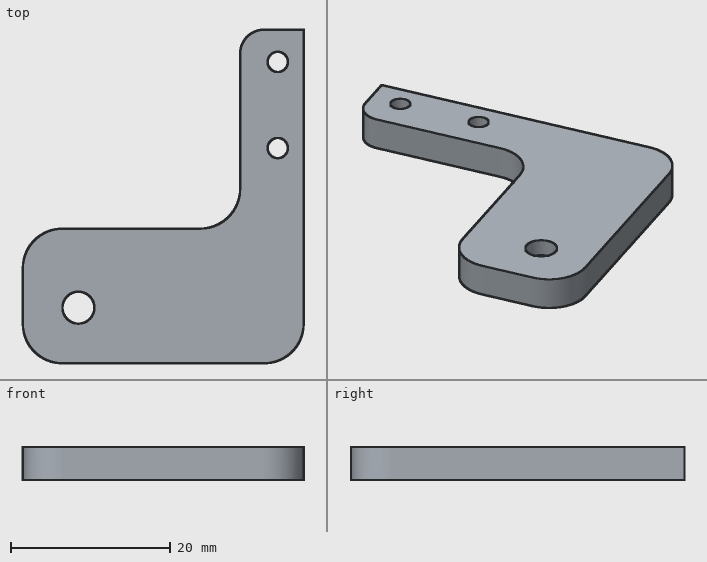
import cadquery as cq

width = 35.3
length = 41.9
thickness = 4.2

arm_width = 8.0
foot_length = 16.93
corner_radius = 5.0
arm_tip_radius = 3.0

pivot_diameter = 4.0
pivot_inset = 7.0
countersink_diameter = 8.0
arm_hole_diameter = 2.5
arm_hole_side_inset = 3.25
arm_hole_tip_inset = 4.05
arm_hole_spacing = 10.8

arm_left = width - arm_width
countersink_depth = (countersink_diameter - pivot_diameter) / 2


def vertical_edge_at(x, y):
    """Select the vertical edge of the plate nearest to (x, y)."""
    return cq.selectors.NearestToPointSelector((x, y, thickness / 2))


def make_plate():
    outline = [
        (0, 0),
        (width, 0),
        (width, length),
        (arm_left, length),
        (arm_left, foot_length),
        (0, foot_length),
    ]
    plate = cq.Workplane("XY").polyline(outline).close().extrude(thickness)
    rounded_corners = [
        (0, 0, corner_radius),
        (width, 0, corner_radius),
        (0, foot_length, corner_radius),
        (arm_left, foot_length, corner_radius),
        (arm_left, length, arm_tip_radius),
    ]
    for x, y, radius in rounded_corners:
        plate = plate.edges("|Z").edges(vertical_edge_at(x, y)).fillet(radius)
    return plate


def through_hole(x, y, diameter):
    return cq.Workplane("XY").center(x, y).circle(diameter / 2).extrude(thickness)


def bottom_countersink(x, y):
    """Cone that opens the pivot hole toward the bottom face."""
    cone = cq.Solid.makeCone(
        countersink_diameter / 2,
        pivot_diameter / 2,
        countersink_depth,
        pnt=cq.Vector(x, y, 0),
    )
    return cq.Workplane(obj=cone)


result = make_plate().cut(through_hole(pivot_inset, pivot_inset, pivot_diameter))
result = result.cut(bottom_countersink(pivot_inset, pivot_inset))
for index in range(2):
    hole_y = length - arm_hole_tip_inset - index * arm_hole_spacing
    result = result.cut(through_hole(width - arm_hole_side_inset, hole_y, arm_hole_diameter))